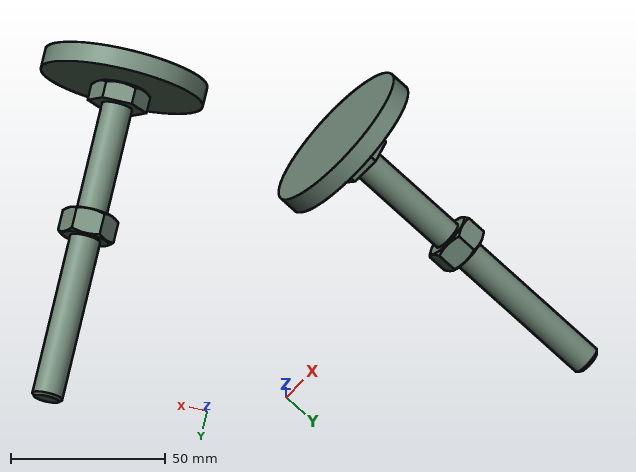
import cadquery as cq
import math

TOTAL_LENGTH = 113.0

PAD_DIAMETER = 54.0
PAD_THICKNESS = 6.5

ROD_DIAMETER = 10.1
ROD_END_CHAMFER = 0.9

HEAD_ACROSS_FLATS = 17.0
HEAD_HEIGHT = 6.5
HEAD_FACE_DIAMETER = 15.6

NUT_ACROSS_FLATS = 16.0
NUT_HEIGHT = 8.5
NUT_START = 49.8
NUT_FACE_DIAMETER = 15.6

CORNER_ANGLE = 30.0


def disc(diameter, start, length):
    """Cylinder along +Y, beginning at Y = start."""
    plane = cq.Workplane("XZ", origin=(0, start, 0))
    return plane.circle(diameter / 2).extrude(-length)


def chamfered_hexagon(across_flats, start, height, face_diameter, chamfer_far_end):
    """Hexagonal prism with corners on the X axis, trimmed by a cone at one or both ends."""
    corner_diameter = across_flats / math.cos(math.radians(30))
    plane = cq.Workplane("XZ", origin=(0, start, 0))
    prism = plane.polygon(6, corner_diameter).extrude(-height)

    face_radius = face_diameter / 2
    corner_radius = corner_diameter / 2
    chamfer_depth = (corner_radius - face_radius) * math.tan(math.radians(CORNER_ANGLE))
    end = start + height
    profile = [
        (0, start),
        (face_radius, start),
        (corner_radius, start + chamfer_depth),
    ]
    if chamfer_far_end:
        profile += [(corner_radius, end - chamfer_depth), (face_radius, end)]
    else:
        profile += [(corner_radius, end)]
    profile += [(0, end)]
    envelope = cq.Workplane("XY").polyline(profile).close().revolve(360, (0, 0, 0), (0, 1, 0))
    return prism.intersect(envelope)


def make_pad():
    """Plain round foot plate."""
    return disc(PAD_DIAMETER, 0, PAD_THICKNESS)


def make_spindle():
    """Rod with a hexagonal head that rests on the pad."""
    head = chamfered_hexagon(
        HEAD_ACROSS_FLATS, PAD_THICKNESS, HEAD_HEIGHT, HEAD_FACE_DIAMETER, chamfer_far_end=False
    )
    rod_start = PAD_THICKNESS + HEAD_HEIGHT
    rod = disc(ROD_DIAMETER, rod_start, TOTAL_LENGTH - rod_start)
    rod = rod.faces(">Y").chamfer(ROD_END_CHAMFER)
    return head.union(rod)


def make_nut():
    """Lock nut, chamfered on both faces, whose bore fits the rod."""
    blank = chamfered_hexagon(
        NUT_ACROSS_FLATS, NUT_START, NUT_HEIGHT, NUT_FACE_DIAMETER, chamfer_far_end=True
    )
    return blank.cut(disc(ROD_DIAMETER, NUT_START, NUT_HEIGHT))


pad = make_pad()
spindle = make_spindle()
nut = make_nut()

result = cq.Compound.makeCompound([pad.val(), spindle.val(), nut.val()])